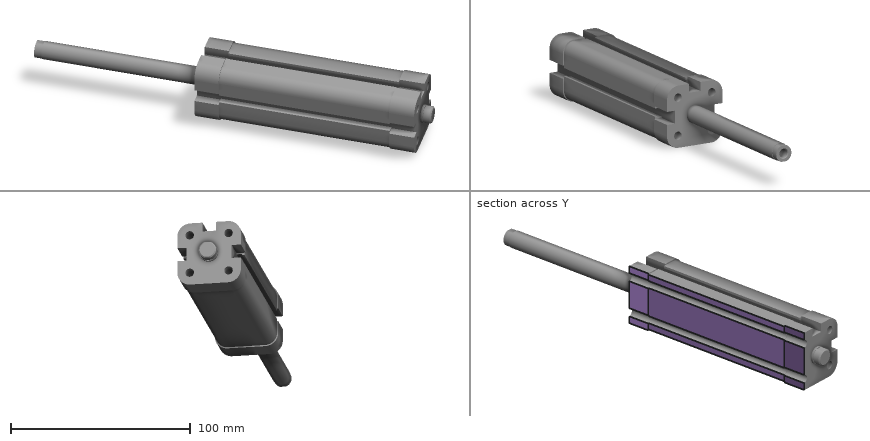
import cadquery as cq
import math

rod_length = 229.0
rod_diameter = 10.3

end_diameter = 9.8
flats_width = 9.2
tip_length = 4.4
tail_length = 4.5
tail_chamfer = 0.7

socket_diameter = 5.0
socket_depth = 11.5
socket_chamfer = 0.5
socket_point_angle = 118

front_cap_start = 96.2
front_cap_length = 14.0
barrel_length = 98.5
rear_cap_length = 14.5
barrel_start = front_cap_start + front_cap_length
rear_cap_start = barrel_start + barrel_length

cap_width = 36.0
cap_corner_radius = 7.3
barrel_inset = 0.7
barrel_width = cap_width - 2 * barrel_inset
barrel_corner_radius = cap_corner_radius - barrel_inset

slot_angles = (0, 90, -90)
slot_floor = 12.8
cap_slot_width = 7.5
barrel_slot_width = 6.2
slot_mouth_width = 4.8
slot_lip_thickness = 1.4

screw_hole_spacing = 22.0
cap_hole_diameter = 4.8
barrel_hole_diameter = 4.1


def square_block(start, length, width, corner_radius):
    """Square bar along X with rounded long edges."""
    return (
        cq.Workplane("YZ", origin=(start, 0, 0))
        .rect(width, width)
        .extrude(length)
        .edges("|X")
        .fillet(corner_radius)
    )


def round_bar(start, length, diameter):
    """Cylinder on the rod axis."""
    return cq.Workplane("YZ", origin=(start, 0, 0)).circle(diameter / 2).extrude(length)


def cut_rod_bore(body, start, length):
    """Bore that fits the rod."""
    bore = round_bar(start, length, rod_diameter)
    return body.cut(bore)


def cut_screw_holes(body, start, length, diameter):
    """Four through holes, one in each corner."""
    holes = (
        cq.Workplane("YZ", origin=(start, 0, 0))
        .rect(screw_hole_spacing, screw_hole_spacing, forConstruction=True)
        .vertices()
        .circle(diameter / 2)
        .extrude(length)
    )
    return body.cut(holes)


def cut_side_slots(body, start, length, width, bottom, top):
    """Slot between two distances from the axis, repeated on each slotted side."""
    slot = (
        cq.Workplane("YZ", origin=(start, 0, 0))
        .center(0, (bottom + top) / 2)
        .rect(width, top - bottom)
        .extrude(length)
    )
    for angle in slot_angles:
        body = body.cut(slot.rotate((0, 0, 0), (1, 0, 0), angle))
    return body


def make_cap(start, length):
    """End cap with open slots that line up with the barrel slots."""
    cap = square_block(start, length, cap_width, cap_corner_radius)
    cap = cut_side_slots(cap, start, length, cap_slot_width, slot_floor, cap_width / 2)
    cap = cut_screw_holes(cap, start, length, cap_hole_diameter)
    return cut_rod_bore(cap, start, length)


def make_barrel():
    """Extruded profile with lipped slots."""
    surface = barrel_width / 2
    lip_underside = surface - slot_lip_thickness
    place = (barrel_start, barrel_length)
    barrel = square_block(*place, barrel_width, barrel_corner_radius)
    barrel = cut_side_slots(barrel, *place, barrel_slot_width, slot_floor, lip_underside)
    barrel = cut_side_slots(barrel, *place, slot_mouth_width, lip_underside, surface)
    barrel = cut_screw_holes(barrel, *place, barrel_hole_diameter)
    return cut_rod_bore(barrel, *place)


def cut_wrench_flats(rod_end, start, length):
    """Flats facing +Z and -Z over the full length of a rod end."""
    kept = cq.Workplane("YZ", origin=(start, 0, 0)).rect(end_diameter, flats_width).extrude(length)
    return rod_end.intersect(kept)


def make_socket():
    """Blind hole along the rod axis with a chamfered mouth and a drill-point bottom."""
    radius = socket_diameter / 2
    point_length = radius / math.tan(math.radians(socket_point_angle / 2))
    return (
        cq.Workplane("XY")
        .polyline(
            [
                (0, 0),
                (0, radius + socket_chamfer),
                (socket_chamfer, radius),
                (socket_depth, radius),
                (socket_depth + point_length, 0),
            ]
        )
        .close()
        .revolve(360, (0, 0, 0), (1, 0, 0))
    )


def make_rod():
    """Rod through all three housing parts, with a socket in its tip."""
    tail_start = rod_length - tail_length
    shank = round_bar(tip_length, tail_start - tip_length, rod_diameter)
    tip = round_bar(0, tip_length, end_diameter)
    tip = cut_wrench_flats(tip, 0, tip_length)
    tail = round_bar(tail_start, tail_length, end_diameter).faces(">X").chamfer(tail_chamfer)
    tail = cut_wrench_flats(tail, tail_start, tail_length)
    return shank.union(tip).union(tail).cut(make_socket())


front_cap = make_cap(front_cap_start, front_cap_length)
barrel = make_barrel()
rear_cap = make_cap(rear_cap_start, rear_cap_length)
rod = make_rod()

result = cq.Compound.makeCompound([front_cap.val(), barrel.val(), rear_cap.val(), rod.val()])